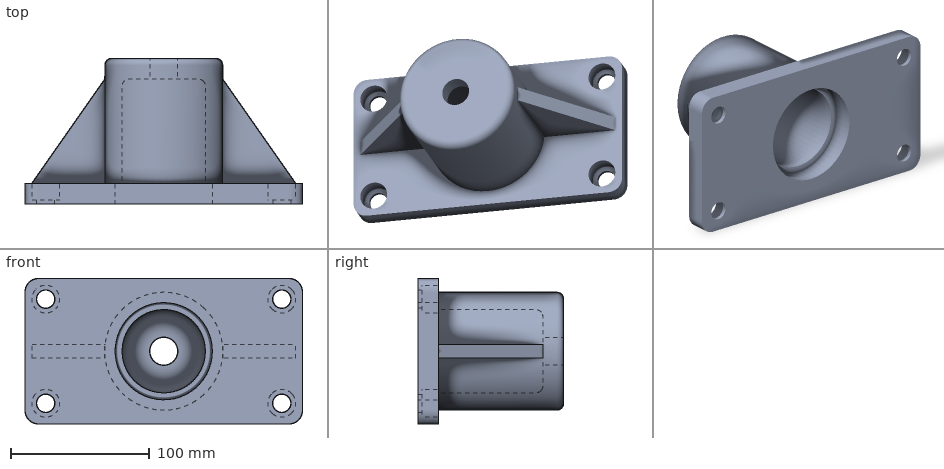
import cadquery as cq

plate_length = 200.0
plate_height = 105.0
plate_thickness = 15.0
corner_radius = 10.0

mount_hole_diameter = 13.0
mount_hole_inset = 15.0
counterbore_diameter = 20.0
counterbore_depth = 12.0

total_depth = 105.0
housing_diameter = 85.0
edge_radius = 5.0

seat_diameter = 70.0
seat_depth = 15.0
bore_diameter = 60.0
end_wall = 15.0
bore_depth = total_depth - end_wall
bore_floor_radius = 5.0
end_hole_diameter = 20.0

rib_thickness = 10.0
rib_foot_inset = 5.0
rib_height = 75.0


def front_plane():
    """Workplane on the front face whose extrusions run toward +Y."""
    return cq.Workplane("XZ").transformed(rotate=(180, 0, 0))


def cylinder(diameter, depth):
    return front_plane().circle(diameter / 2).extrude(depth)


def make_plate():
    plate = front_plane().rect(plate_length, plate_height).extrude(plate_thickness)
    return plate.edges("|Y").fillet(corner_radius)


def make_housing():
    return cylinder(housing_diameter, total_depth).faces(">Y").edges().fillet(edge_radius)


def make_ribs():
    """Both ribs as one triangle profile, its middle buried in the housing."""
    foot_x = plate_length / 2 - rib_foot_inset
    top_x = housing_diameter / 2
    top_y = plate_thickness + rib_height
    outline = [(-foot_x, plate_thickness), (foot_x, plate_thickness), (top_x, top_y), (-top_x, top_y)]
    return cq.Workplane("XY").polyline(outline).close().extrude(rib_thickness / 2, both=True)


def make_bore():
    bore = cylinder(bore_diameter, bore_depth).faces(">Y").edges().fillet(bore_floor_radius)
    seat = cylinder(seat_diameter, seat_depth)
    end_hole = cylinder(end_hole_diameter, total_depth)
    return bore.union(seat).union(end_hole)


def make_mount_holes():
    """Through holes, counterbored from the rear face of the plate."""
    spacing_x = plate_length - 2 * mount_hole_inset
    spacing_z = plate_height - 2 * mount_hole_inset
    centers = front_plane().rect(spacing_x, spacing_z, forConstruction=True).vertices()
    holes = centers.circle(mount_hole_diameter / 2).extrude(plate_thickness)
    counterbores = centers.circle(counterbore_diameter / 2).extrude(counterbore_depth)
    counterbores = counterbores.translate((0, plate_thickness - counterbore_depth, 0))
    return holes.union(counterbores)


body = make_plate().union(make_housing()).union(make_ribs())
result = body.cut(make_bore()).cut(make_mount_holes())